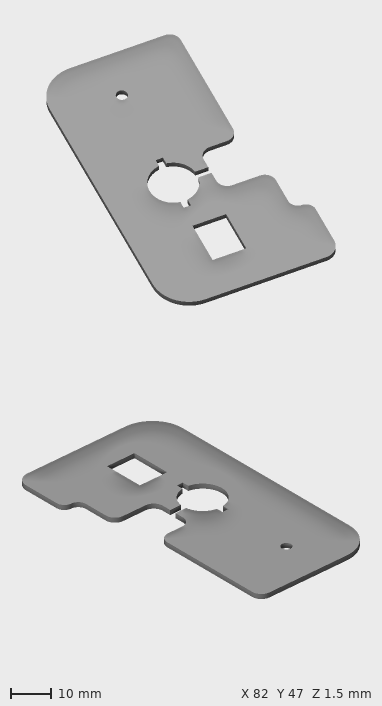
import cadquery as cq

length = 82.0
depth = 47.0
thickness = 1.5
left_height = 38.95
shoulder_height = 41.8
step_x = 64.1

lower_corner_radius = 10.0
upper_corner_radius = 3.0
far_corner_radius = 4.0
step_radius = (depth - shoulder_height) / 2

opening_x = 44.4
opening_y = 18.2
notch_width = 13.5
notch_floor = 28.2
notch_left = opening_x - notch_width / 2
notch_right = opening_x + notch_width / 2

opening_diameter = 12.95
key_span = 16.9
slot_width = 2.0

hole_diameter = 3.0
hole_x = 13.3

window_width = 12.1
window_height = 9.2
window_x = 65.1
window_y = 21.4


def round_corners(body, points, radius):
    """Fillet the vertical edges that pass through the given outline points."""
    for x, y in points:
        edge = cq.selectors.NearestToPointSelector((x, y, thickness / 2))
        body = body.edges("|Z").edges(edge).fillet(radius)
    return body


def make_plate():
    """Plate with its notch and rounded corners; the step is drawn as two arcs."""
    step_middle = (step_x, shoulder_height + step_radius)
    body = (
        cq.Workplane("XY")
        .lineTo(length, 0)
        .lineTo(length, depth)
        .lineTo(step_x + step_radius, depth)
        .tangentArcPoint(step_middle, relative=False)
        .tangentArcPoint((step_x - step_radius, shoulder_height), relative=False)
        .lineTo(notch_right, shoulder_height)
        .lineTo(notch_right, notch_floor)
        .lineTo(notch_left, notch_floor)
        .lineTo(notch_left, left_height)
        .lineTo(0, left_height)
        .close()
        .extrude(thickness)
    )
    lower_corners = [(0, 0), (length, 0)]
    upper_corners = [
        (0, left_height),
        (notch_left, left_height),
        (notch_left, notch_floor),
        (notch_right, notch_floor),
        (notch_right, shoulder_height),
    ]
    body = round_corners(body, lower_corners, lower_corner_radius)
    body = round_corners(body, upper_corners, upper_corner_radius)
    return round_corners(body, [(length, depth)], far_corner_radius)


def make_keyed_opening():
    """Cutter: round opening, two side keys, and a slit up to the notch floor."""
    center = cq.Workplane("XY").center(opening_x, opening_y)
    bore = center.circle(opening_diameter / 2).extrude(thickness)
    keys = center.rect(key_span, slot_width).extrude(thickness)
    slit_length = notch_floor - opening_y
    slit = center.center(0, slit_length / 2).rect(slot_width, slit_length).extrude(thickness)
    return bore.union(keys).union(slit)


def make_hole():
    """Cutter for the small round hole."""
    return cq.Workplane("XY").center(hole_x, opening_y).circle(hole_diameter / 2).extrude(thickness)


def make_window():
    """Cutter for the rectangular window."""
    center = cq.Workplane("XY").center(window_x, window_y)
    return center.rect(window_width, window_height).extrude(thickness)


result = make_plate().cut(make_keyed_opening()).cut(make_hole()).cut(make_window())